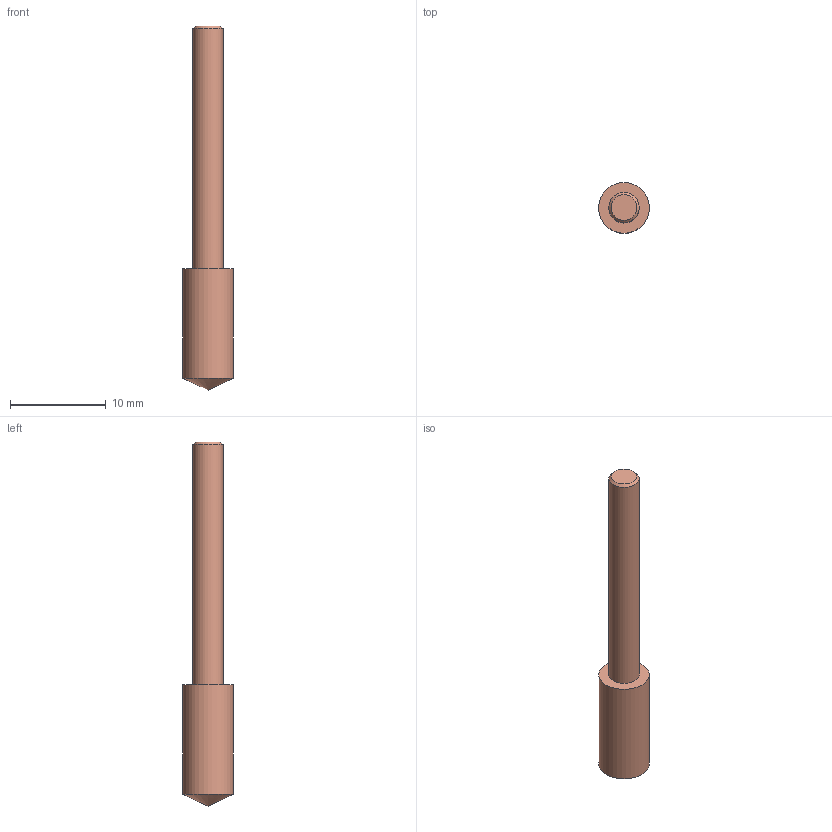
import cadquery as cq
import math

total_length = 38.1
head_length = 12.7
head_diameter = 5.3
point_angle = 130.0

shank_diameter = 3.175
shank_chamfer = 0.25

head_radius = head_diameter / 2
cone_height = head_radius / math.tan(math.radians(point_angle / 2))
shank_length = total_length - head_length


def make_head():
    """Cylinder with a conical point at its lower end, flat on top."""
    return (
        cq.Workplane("XZ")
        .moveTo(0, 0)
        .lineTo(head_radius, cone_height)
        .lineTo(head_radius, head_length)
        .lineTo(0, head_length)
        .close()
        .revolve(360, (0, 0, 0), (0, 1, 0))
    )


def make_shank():
    """Plain round shank standing on the head, chamfered at its free end."""
    return (
        cq.Workplane("XY")
        .workplane(offset=head_length)
        .circle(shank_diameter / 2)
        .extrude(shank_length)
        .faces(">Z")
        .chamfer(shank_chamfer)
    )


head = make_head()
shank = make_shank()

result = cq.Compound.makeCompound([head.val(), shank.val()])